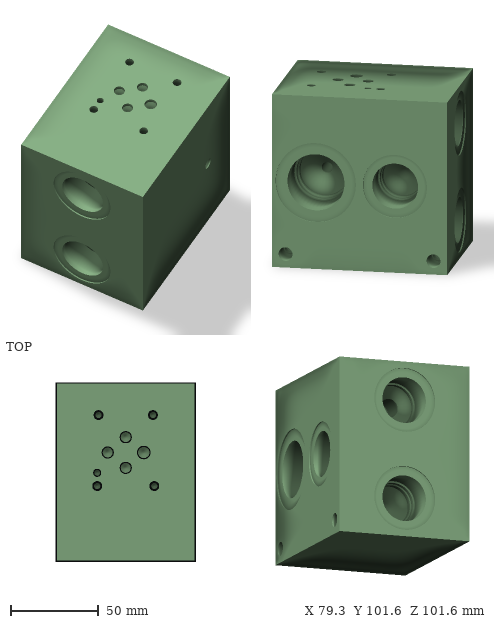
import cadquery as cq
import math

WIDTH = 79.3
LENGTH = 101.6
HEIGHT = 101.6
MID_HEIGHT = HEIGHT / 2

DRILL_TIP_ANGLE = 118.0
TIP_SLOPE = math.tan(math.radians(DRILL_TIP_ANGLE / 2))

SPOTFACE_DEPTH = 0.8
SMALL_SPOTFACE_DIAMETER = 37.1
SMALL_MOUTH_DIAMETER = 26.5
SMALL_MOUTH_DEPTH = 17.8
SMALL_THREAD_DIAMETER = 24.4
SMALL_DRILL_DIAMETER = 23.0
LARGE_SPOTFACE_DIAMETER = 46.5
LARGE_MOUTH_DIAMETER = 33.0
LARGE_MOUTH_DEPTH = 21.3
LARGE_THREAD_DIAMETER = 30.6
LARGE_DRILL_DIAMETER = 28.5
THREAD_LENGTH = 3.0
DRILL_LENGTH = 4.1

FRONT_PORT_OFFSET = 28.5
PORT_T_Y = 25.4
PORT_P_Y = -20.5
PORT_B_PASSAGE_DIAMETER = 10.8
PORT_B_PASSAGE_DEPTH = 40.6
PORT_T_PASSAGE_DIAMETER = 6.3

MOUNT_EDGE_DISTANCE = 7.9
MOUNT_THREAD_DIAMETER = 8.0
MOUNT_DRILL_DIAMETER = 6.7
MOUNT_THREAD_DEPTH = 15.2
MOUNT_DRILL_DEPTH = 19.3

VALVE_CENTER_Y = 11.2
VALVE_PORT_SPACING_X = 20.5
VALVE_PORT_SPACING_Y = 17.5
VALVE_PORT_DIAMETER = 6.3
TANK_PORT_DIAMETER = 7.1
VALVE_PORT_DEPTH = 2.0
BOLT_FRONT_Y = -7.9
BOLT_BACK_Y = 32.5
BOLT_FRONT_SPACING = 32.5
BOLT_BACK_SPACING = 31.0
BOLT_THREAD_DIAMETER = 5.0
BOLT_DRILL_DIAMETER = 4.2
BOLT_THREAD_DEPTH = 12.2
BOLT_DRILL_DEPTH = 15.2
LOCATING_PIN_Y = -0.4
LOCATING_PIN_DIAMETER = 4.0
LOCATING_PIN_DEPTH = 6.1


def stepped_hole(origin, direction, stations):
    """Round cutter along direction; stations are (depth, diameter) pairs, ending in a drill tip."""
    last_depth, last_diameter = stations[-1]
    tip_depth = last_depth + last_diameter / 2 / TIP_SLOPE
    outline = [(0, 0)]
    outline += [(diameter / 2, depth) for depth, diameter in stations]
    outline.append((0, tip_depth))
    cutter = cq.Workplane("XZ").polyline(outline).close().revolve(360, (0, 0, 0), (0, 1, 0))
    return cutter.val().moved(cq.Location(cq.Plane(origin=origin, normal=direction)))


def bore(origin, direction, depth, diameter):
    return stepped_hole(origin, direction, [(0, diameter), (depth, diameter)])


def tapped_hole(origin, direction, thread_diameter, thread_depth, drill_diameter, drill_depth):
    return stepped_hole(
        origin,
        direction,
        [
            (0, thread_diameter),
            (thread_depth, thread_diameter),
            (thread_depth, drill_diameter),
            (drill_depth, drill_diameter),
        ],
    )


def port_entry(spotface, mouth, mouth_depth, thread):
    """Stations of the spotface, the wide mouth and the narrower bore behind it."""
    return [
        (0, spotface),
        (SPOTFACE_DEPTH, spotface),
        (SPOTFACE_DEPTH, mouth),
        (mouth_depth, mouth),
        (mouth_depth, thread),
        (mouth_depth + THREAD_LENGTH, thread),
    ]


def tapered_drill(entry, drill):
    """Stations added behind a port entry: a short taper down to a drilled bore."""
    thread_depth, thread = entry[-1]
    taper_depth = thread_depth + (thread - drill) / 2 / TIP_SLOPE
    return [(taper_depth, drill), (thread_depth + DRILL_LENGTH, drill)]


INTO_FRONT = (0, 1, 0)
INTO_LEFT = (1, 0, 0)
INTO_TOP = (0, 0, -1)
FRONT_Y = -LENGTH / 2
LEFT_X = -WIDTH / 2

result = cq.Workplane("XY").box(WIDTH, LENGTH, HEIGHT, centered=(True, True, False))

small_entry = port_entry(
    SMALL_SPOTFACE_DIAMETER, SMALL_MOUTH_DIAMETER, SMALL_MOUTH_DEPTH, SMALL_THREAD_DIAMETER
)
large_entry = port_entry(
    LARGE_SPOTFACE_DIAMETER, LARGE_MOUTH_DIAMETER, LARGE_MOUTH_DEPTH, LARGE_THREAD_DIAMETER
)
small_port = small_entry + tapered_drill(small_entry, SMALL_DRILL_DIAMETER)
large_port = large_entry + tapered_drill(large_entry, LARGE_DRILL_DIAMETER)

port_a = (0, FRONT_Y, MID_HEIGHT - FRONT_PORT_OFFSET)
port_b = (0, FRONT_Y, MID_HEIGHT + FRONT_PORT_OFFSET)
result = result.cut(stepped_hole(port_a, INTO_FRONT, small_port))
result = result.cut(stepped_hole(port_b, INTO_FRONT, small_entry))
result = result.cut(bore(port_b, INTO_FRONT, PORT_B_PASSAGE_DEPTH, PORT_B_PASSAGE_DIAMETER))

port_p = (LEFT_X, PORT_P_Y, MID_HEIGHT)
port_t = (LEFT_X, PORT_T_Y, MID_HEIGHT)
result = result.cut(stepped_hole(port_p, INTO_LEFT, small_port))
result = result.cut(stepped_hole(port_t, INTO_LEFT, large_port))
result = result.cut(bore(port_t, INTO_LEFT, WIDTH, PORT_T_PASSAGE_DIAMETER))

for side in (-1, 1):
    corner = (LEFT_X, side * (LENGTH / 2 - MOUNT_EDGE_DISTANCE), MOUNT_EDGE_DISTANCE)
    result = result.cut(
        tapped_hole(
            corner,
            INTO_LEFT,
            MOUNT_THREAD_DIAMETER,
            MOUNT_THREAD_DEPTH,
            MOUNT_DRILL_DIAMETER,
            MOUNT_DRILL_DEPTH,
        )
    )

half_x = VALVE_PORT_SPACING_X / 2
half_y = VALVE_PORT_SPACING_Y / 2
valve_ports = [
    (-half_x, 0, VALVE_PORT_DIAMETER),
    (half_x, 0, TANK_PORT_DIAMETER),
    (0, -half_y, VALVE_PORT_DIAMETER),
    (0, half_y, VALVE_PORT_DIAMETER),
]
for x, y, diameter in valve_ports:
    result = result.cut(bore((x, VALVE_CENTER_Y + y, HEIGHT), INTO_TOP, VALVE_PORT_DEPTH, diameter))

for y, spacing in ((BOLT_FRONT_Y, BOLT_FRONT_SPACING), (BOLT_BACK_Y, BOLT_BACK_SPACING)):
    for side in (-1, 1):
        result = result.cut(
            tapped_hole(
                (side * spacing / 2, y, HEIGHT),
                INTO_TOP,
                BOLT_THREAD_DIAMETER,
                BOLT_THREAD_DEPTH,
                BOLT_DRILL_DIAMETER,
                BOLT_DRILL_DEPTH,
            )
        )

pin = (-BOLT_FRONT_SPACING / 2, LOCATING_PIN_Y, HEIGHT)
result = result.cut(bore(pin, INTO_TOP, LOCATING_PIN_DEPTH, LOCATING_PIN_DIAMETER))